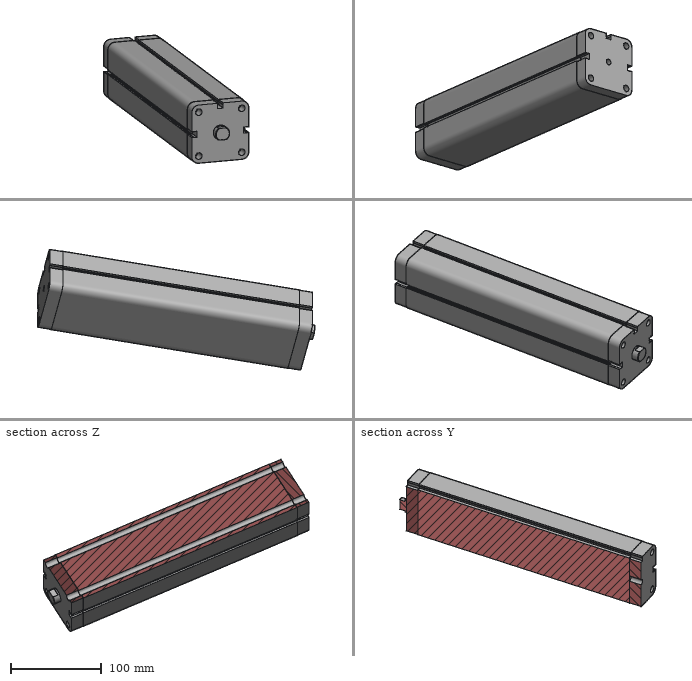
import cadquery as cq

total_length = 303.5
body_length = 295.3
cap_thickness = 14.5
tube_length = body_length - 2 * cap_thickness

tube_side = 67.0
tube_corner_radius = 8.5
cap_inset = 0.3
cap_side = tube_side - 2 * cap_inset
cap_corner_radius = tube_corner_radius - cap_inset

bolt_spacing = tube_side - 2 * tube_corner_radius
cap_bolt_hole_diameter = 7.3
tube_bolt_hole_diameter = 6.5

port_diameter = 6.5

slot_angles = (0, 90, -90)
pocket_width = 6.7
tube_neck_width = 5.0
tube_lip_thickness = 2.7
tube_slot_depth = 5.5
cap_neck_width = 6.5
cap_lip_thickness = tube_lip_thickness - cap_inset
cap_slot_depth = 6.0

spigot_diameter = 16.5
spigot_length = total_length - body_length
spigot_chamfer = 0.5
flat_spacing = 13.5
collar_length = 1.8


def cylinder(diameter, length):
    """Round bar along X, starting at the origin."""
    return cq.Workplane("YZ").circle(diameter / 2).extrude(length)


def rounded_bar(length, side, corner_radius):
    """Square bar along X with its four long edges rounded."""
    bar = cq.Workplane("YZ").rect(side, side).extrude(length)
    return bar.edges("|X").fillet(corner_radius)


def bolt_hole_cutter(length, diameter):
    """Four parallel cylinders, one near each corner of the section."""
    corners = cq.Workplane("YZ").rect(bolt_spacing, bolt_spacing, forConstruction=True).vertices()
    return corners.circle(diameter / 2).extrude(length)


def slot_cutter(length, side, neck_width, lip_thickness, depth):
    """T-slot along X that opens through the +Z side of a bar."""
    slot_centering = (False, True, False)
    neck = cq.Workplane("XY").box(length, neck_width, depth, centered=slot_centering)
    pocket = cq.Workplane("XY").box(length, pocket_width, depth - lip_thickness, centered=slot_centering)
    return neck.union(pocket).translate((0, 0, side / 2 - depth))


def cut_slots(bar, slot):
    """Cut the slot into each slotted side of the bar."""
    for angle in slot_angles:
        bar = bar.cut(slot.rotate((0, 0, 0), (1, 0, 0), angle))
    return bar


def make_tube():
    bar = rounded_bar(tube_length, tube_side, tube_corner_radius)
    bar = bar.cut(bolt_hole_cutter(tube_length, tube_bolt_hole_diameter))
    slot = slot_cutter(tube_length, tube_side, tube_neck_width, tube_lip_thickness, tube_slot_depth)
    return cut_slots(bar, slot).translate((cap_thickness, 0, 0))


def make_end_cap(start):
    """End cap whose near face lies at X = start."""
    bar = rounded_bar(cap_thickness, cap_side, cap_corner_radius)
    bar = bar.cut(bolt_hole_cutter(cap_thickness, cap_bolt_hole_diameter))
    slot = slot_cutter(cap_thickness, cap_side, cap_neck_width, cap_lip_thickness, cap_slot_depth)
    return cut_slots(bar, slot).translate((start, 0, 0))


def make_spigot():
    """Chamfered stub with flats facing up and down, seated on the far cap."""
    stub = cylinder(spigot_diameter, spigot_length).faces(">X").edges().chamfer(spigot_chamfer)
    flat_band = cq.Workplane("XY").box(
        spigot_length, spigot_diameter, flat_spacing, centered=(False, True, True)
    )
    collar = cylinder(spigot_diameter, collar_length)
    return stub.intersect(flat_band.union(collar)).translate((body_length, 0, 0))


tube = make_tube()
near_cap = make_end_cap(0).cut(cylinder(port_diameter, cap_thickness))
far_cap = make_end_cap(body_length - cap_thickness)
spigot = make_spigot()

bodies = [tube, near_cap, far_cap, spigot]
result = cq.Compound.makeCompound([body.solids().val() for body in bodies])